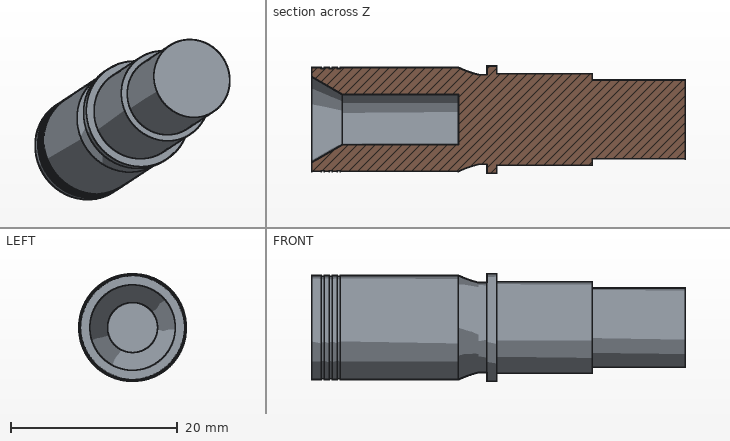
import cadquery as cq
import math

total_length = 44.8
body_end = 17.6
taper_end = 20.0
flange_start = 21.0
flange_width = 1.2
shoulder_end = 33.65

body_diameter = 12.5
neck_diameter = 10.8
flange_diameter = 12.9
shoulder_diameter = 11.0
tail_diameter = 9.52
taper_hollow = 0.065

groove_diameter = 12.3
groove_width = 0.35
groove_pitch = 0.97
first_groove_start = 1.16
groove_count = 3

mouth_diameter = 10.25
bore_diameter = 6.0
mouth_half_angle = 30.0
bore_end = body_end


def revolve_profile(profile):
    """Turn a closed profile, drawn as (x, radius), about the X axis."""
    return profile.close().revolve(360, (0, 0, 0), (1, 0, 0))


def make_outside():
    """Stepped outside with a hollow taper between the body and the neck."""
    body_radius = body_diameter / 2
    neck_radius = neck_diameter / 2
    flange_radius = flange_diameter / 2
    shoulder_radius = shoulder_diameter / 2
    tail_radius = tail_diameter / 2
    flange_end = flange_start + flange_width

    taper_length = taper_end - body_end
    taper_drop = body_radius - neck_radius
    taper_slant = math.hypot(taper_length, taper_drop)
    taper_middle = (
        (body_end + taper_end) / 2 - taper_hollow * taper_drop / taper_slant,
        (body_radius + neck_radius) / 2 - taper_hollow * taper_length / taper_slant,
    )

    profile = (
        cq.Workplane("XY")
        .lineTo(0, body_radius)
        .lineTo(body_end, body_radius)
        .threePointArc(taper_middle, (taper_end, neck_radius))
        .lineTo(flange_start, neck_radius)
        .lineTo(flange_start, flange_radius)
        .lineTo(flange_end, flange_radius)
        .lineTo(flange_end, shoulder_radius)
        .lineTo(shoulder_end, shoulder_radius)
        .lineTo(shoulder_end, tail_radius)
        .lineTo(total_length, tail_radius)
        .lineTo(total_length, 0)
    )
    return revolve_profile(profile)


def make_groove(start):
    """Ring of material removed by one groove starting at the given X."""
    return (
        cq.Workplane("YZ", origin=(start, 0, 0))
        .circle(body_diameter / 2)
        .circle(groove_diameter / 2)
        .extrude(groove_width)
    )


def make_socket():
    """Cone-shaped mouth leading into a flat-bottomed bore."""
    mouth_radius = mouth_diameter / 2
    bore_radius = bore_diameter / 2
    mouth_depth = (mouth_radius - bore_radius) / math.tan(math.radians(mouth_half_angle))
    profile = (
        cq.Workplane("XY")
        .lineTo(0, mouth_radius)
        .lineTo(mouth_depth, bore_radius)
        .lineTo(bore_end, bore_radius)
        .lineTo(bore_end, 0)
    )
    return revolve_profile(profile)


result = make_outside().cut(make_socket())
for index in range(groove_count):
    result = result.cut(make_groove(first_groove_start + index * groove_pitch))